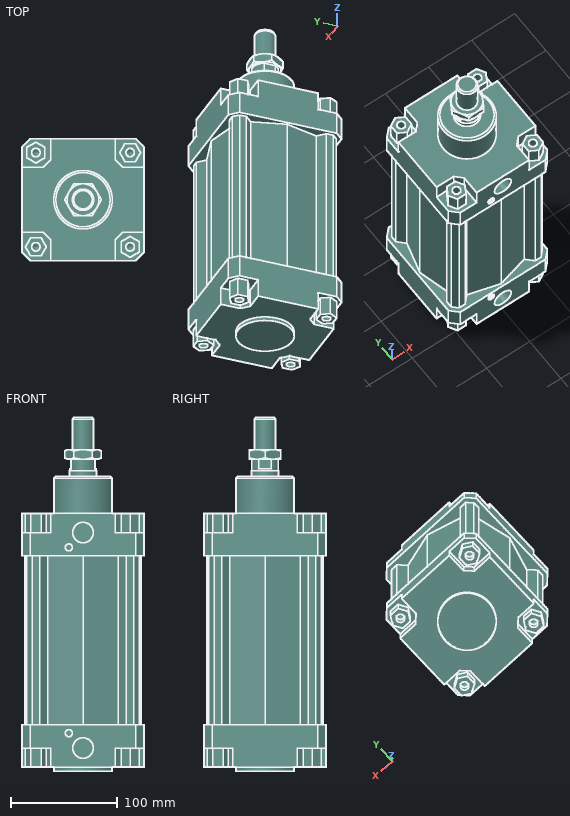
import cadquery as cq
import math

HEX_CORNER_RATIO = 1 / math.cos(math.radians(30))

TOTAL_HEIGHT = 333.0

CAP_SIDE = 115.0
CAP_HEIGHT = 40.0
CAP_CORNER_CHAMFER = 8.0
POCKET_SIDE = 27.0
POCKET_DEPTH = 18.0
POCKET_INNER_CHAMFER = 7.0

BOLT_OFFSET = 44.3
BOLT_ACROSS_FLATS = 17.0
BOLT_HOLE_DIAMETER = 8.0
BOLT_HOLE_DEPTH = 13.3
DRILL_POINT_ANGLE = 118.0

PORT_DIAMETER = 19.3
PORT_DEPTH = 16.5
PORT_FROM_CAP_END = 18.0
SCREW_HOLE_DIAMETER = 6.5
SCREW_HOLE_DEPTH = 1.0
SCREW_HOLE_X = -13.3
SCREW_FROM_CAP_END = 32.0

BARREL_PEAK = 54.5
POST_FACE = 53.0
POST_CHAMFER = 5.3
POST_INNER_EDGE = 40.5
POST_STEP = 7.3

BOSS_DIAMETER = 55.0
TOP_BOSS_HEIGHT = 35.0
BOTTOM_BOSS_HEIGHT = 4.0
TOP_BOSS_CHAMFER = 2.0

ROD_LENGTH = 55.5
ROD_NECK_DIAMETER = 25.3
ROD_NECK_HEIGHT = 16.0
ROD_COLLAR_DIAMETER = 25.5
ROD_COLLAR_HEIGHT = 5.3
ROD_ACROSS_FLATS = 22.5
FLATS_START_HEIGHT = 7.0
STUD_DIAMETER = 20.0
STUD_CHAMFER_LENGTH = 2.3
STUD_CHAMFER_WIDTH = 1.3
NUT_ACROSS_FLATS = 30.0
NUT_HEIGHT = 9.0
NUT_CHAMFER_ANGLE = 30.0

BOSS_TOP = TOTAL_HEIGHT - ROD_LENGTH
CAP_TOP = BOSS_TOP - TOP_BOSS_HEIGHT
BODY_BOTTOM = BOTTOM_BOSS_HEIGHT
BODY_MIDDLE = (CAP_TOP + BODY_BOTTOM) / 2
NUT_BOTTOM = BOSS_TOP + ROD_NECK_HEIGHT


def hexagon_prism(across_flats, height):
    """Hexagonal prism standing on Z = 0, with two corners on the X axis."""
    return cq.Workplane("XY").polygon(6, across_flats * HEX_CORNER_RATIO).extrude(height)


def hex_bolt():
    """Hexagonal bolt head with a drilled blind hole, standing on Z = 0."""
    hole_radius = BOLT_HOLE_DIAMETER / 2
    hole_floor = POCKET_DEPTH - BOLT_HOLE_DEPTH
    point_depth = hole_radius / math.tan(math.radians(DRILL_POINT_ANGLE / 2))
    hole = (
        cq.Workplane("XZ")
        .moveTo(0, hole_floor - point_depth)
        .lineTo(hole_radius, hole_floor)
        .lineTo(hole_radius, POCKET_DEPTH)
        .lineTo(0, POCKET_DEPTH)
        .close()
        .revolve(360, (0, 0, 0), (0, 1, 0))
    )
    return hexagon_prism(BOLT_ACROSS_FLATS, POCKET_DEPTH).cut(hole)


def front_hole(x, z, diameter, depth):
    """Cylinder for a blind hole into the -Y face of a cap."""
    return (
        cq.Workplane("XZ", origin=(x, -CAP_SIDE / 2, z))
        .circle(diameter / 2)
        .extrude(-depth)
    )


def top_cap():
    """Upper end cap with corner pockets, bolt heads, port and screw hole."""
    floor = CAP_TOP - POCKET_DEPTH
    cap = (
        cq.Workplane("XY", origin=(0, 0, CAP_TOP - CAP_HEIGHT))
        .rect(CAP_SIDE, CAP_SIDE)
        .extrude(CAP_HEIGHT)
        .edges("|Z")
        .chamfer(CAP_CORNER_CHAMFER)
    )
    pocket_centre = (CAP_SIDE - POCKET_SIDE) / 2
    pocket = (
        cq.Workplane("XY", origin=(pocket_centre, pocket_centre, floor))
        .rect(POCKET_SIDE, POCKET_SIDE)
        .extrude(POCKET_DEPTH)
        .edges("|Z and <X and <Y")
        .chamfer(POCKET_INNER_CHAMFER)
    )
    bolt = hex_bolt().translate((BOLT_OFFSET, BOLT_OFFSET, floor))
    for angle in (0, 90, 180, 270):
        cap = cap.cut(pocket.rotate((0, 0, 0), (0, 0, 1), angle))
        cap = cap.union(bolt.rotate((0, 0, 0), (0, 0, 1), angle))
    port = front_hole(0, CAP_TOP - PORT_FROM_CAP_END, PORT_DIAMETER, PORT_DEPTH)
    screw_hole = front_hole(
        SCREW_HOLE_X, CAP_TOP - SCREW_FROM_CAP_END, SCREW_HOLE_DIAMETER, SCREW_HOLE_DEPTH
    )
    return cap.cut(port).cut(screw_hole)


def barrel():
    """Profiled barrel: chamfered corner posts joined by slightly peaked sides."""
    post_outer_edge = POST_FACE - POST_CHAMFER
    post_foot = POST_INNER_EDGE - POST_STEP
    side = [
        (-post_outer_edge, -POST_FACE),
        (-POST_INNER_EDGE, -POST_FACE),
        (-post_foot, -(POST_FACE - POST_STEP)),
        (0, -BARREL_PEAK),
        (post_foot, -(POST_FACE - POST_STEP)),
        (POST_INNER_EDGE, -POST_FACE),
        (post_outer_edge, -POST_FACE),
    ]
    outline = []
    for _ in range(4):
        outline += side
        side = [(-y, x) for x, y in side]
    bottom = BODY_BOTTOM + CAP_HEIGHT
    length = CAP_TOP - CAP_HEIGHT - bottom
    return cq.Workplane("XY", origin=(0, 0, bottom)).polyline(outline).close().extrude(length)


def boss(bottom, height):
    """Plain round guide boss."""
    return cq.Workplane("XY", origin=(0, 0, bottom)).circle(BOSS_DIAMETER / 2).extrude(height)


def make_housing():
    """Barrel, both end caps and both guide bosses as one solid."""
    cap = top_cap()
    bottom_cap = cap.mirror("XY", (0, 0, BODY_MIDDLE))
    top_boss = boss(CAP_TOP, TOP_BOSS_HEIGHT).faces(">Z").chamfer(TOP_BOSS_CHAMFER)
    return (
        barrel()
        .union(cap)
        .union(bottom_cap)
        .union(top_boss)
        .union(boss(0, BOTTOM_BOSS_HEIGHT))
    )


def make_rod():
    """Piston rod end: slightly wider collar, neck with two wrench flats, then the stud."""
    neck = (
        cq.Workplane("XY", origin=(0, 0, BOSS_TOP))
        .circle(ROD_NECK_DIAMETER / 2)
        .extrude(ROD_NECK_HEIGHT)
    )
    collar = (
        cq.Workplane("XY", origin=(0, 0, BOSS_TOP))
        .circle(ROD_COLLAR_DIAMETER / 2)
        .extrude(ROD_COLLAR_HEIGHT)
    )
    flats_outer = 2 * ROD_NECK_DIAMETER
    flats = (
        cq.Workplane("XY", origin=(0, 0, BOSS_TOP + FLATS_START_HEIGHT))
        .rect(flats_outer, flats_outer)
        .rect(ROD_ACROSS_FLATS, flats_outer)
        .extrude(ROD_NECK_HEIGHT - FLATS_START_HEIGHT)
    )
    stud = (
        cq.Workplane("XY", origin=(0, 0, NUT_BOTTOM))
        .circle(STUD_DIAMETER / 2)
        .extrude(ROD_LENGTH - ROD_NECK_HEIGHT)
        .faces(">Z")
        .chamfer(STUD_CHAMFER_LENGTH, STUD_CHAMFER_WIDTH)
    )
    return neck.cut(flats).union(collar).union(stud)


def make_nut():
    """Hexagonal lock nut with corners turned down at both ends."""
    flat_radius = NUT_ACROSS_FLATS / 2
    corner_radius = flat_radius * HEX_CORNER_RATIO
    drop = (corner_radius - flat_radius) * math.tan(math.radians(NUT_CHAMFER_ANGLE))
    turned_blank = (
        cq.Workplane("XZ")
        .moveTo(0, 0)
        .lineTo(flat_radius, 0)
        .lineTo(corner_radius, drop)
        .lineTo(corner_radius, NUT_HEIGHT - drop)
        .lineTo(flat_radius, NUT_HEIGHT)
        .lineTo(0, NUT_HEIGHT)
        .close()
        .revolve(360, (0, 0, 0), (0, 1, 0))
    )
    bore = cq.Workplane("XY").circle(STUD_DIAMETER / 2).extrude(NUT_HEIGHT)
    nut = hexagon_prism(NUT_ACROSS_FLATS, NUT_HEIGHT).intersect(turned_blank).cut(bore)
    return nut.translate((0, 0, NUT_BOTTOM))


housing = make_housing()
rod = make_rod()
nut = make_nut()

result = cq.Compound.makeCompound([housing.val(), rod.val(), nut.val()])